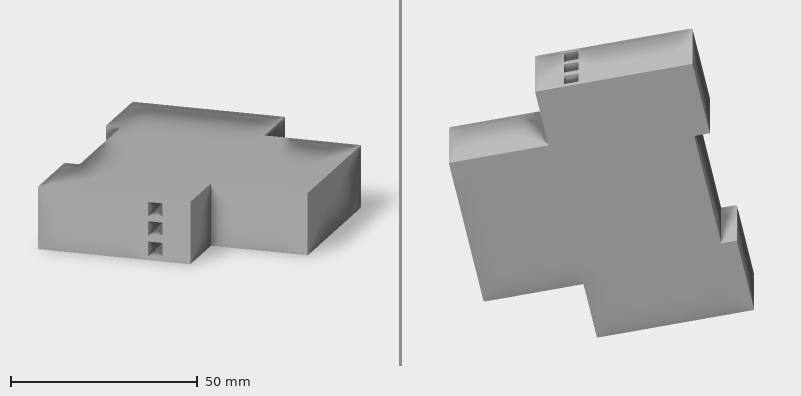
import cadquery as cq

length_x = 70.2
width_y = 80.2
thickness = 17.5

base_depth = 43.0
head_width = 45.2
notch_width = 34.95
notch_depth = 4.25

passage_side = 4.0
passage_center_x = 33.1
passage_center_heights = (3.2, 8.9, 14.3)


def block(x_start, x_size, y_size):
    """Full-thickness block, symmetric about the XZ plane and standing on Z = 0."""
    return (
        cq.Workplane("XY")
        .box(x_size, y_size, thickness, centered=(False, True, False))
        .translate((x_start, 0, 0))
    )


def passage(center_height):
    """Square bar along Y that cuts one terminal passage."""
    return (
        cq.Workplane("XY")
        .box(passage_side, width_y, passage_side)
        .translate((passage_center_x, 0, center_height))
    )


base = block(0, base_depth, width_y)
head = block(base_depth, length_x - base_depth, head_width)
rail_notch = block(0, notch_depth, notch_width)

result = base.union(head).cut(rail_notch)
for height in passage_center_heights:
    result = result.cut(passage(height))